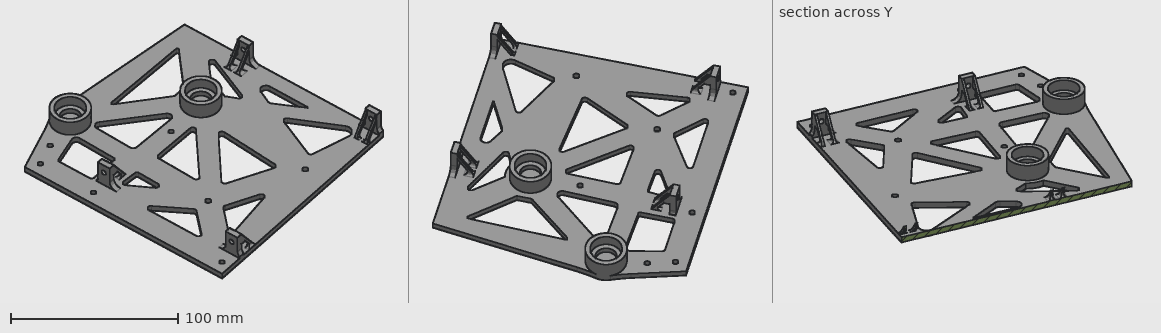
import cadquery as cq
import math

plate_length = 165.8
plate_depth = 156.0
plate_thickness = 4.0
back_left_corner_x = 15.0
front_left_corner_x = 15.9
left_apex = (0.7, 47.2)
edge_blend_radius = 99.5

boss_diameter = 25.0
edge_boss_center = (boss_diameter / 2, 48.4)
inner_boss_center = (64.6, 108.4)
boss_top = 14.5
bearing_diameter = 19.0
bearing_depth = 7.0
recess_diameter = 13.0
pocket_clearance_radius = 15.4

small_hole_diameter = 3.3
small_hole_centers = [(65.8, 78.0), (16.4, 24.0), (21.5, 8.0), (61.8, 8.0), (159.5, 8.0)]
large_hole_diameter = 3.6
large_hole_centers = [(149.0, 101.8), (120.2, 44.6)]

plain_pockets = [
    [(109.7, 128.1, 2.0), (155.0, 151.3, 5.0), (143.7, 112.9, 2.0)],
    [(72.6, 145.2, 3.5), (118.4, 145.0, 0.3), (96.6, 133.6, 3.0)],
    [(22.2, 73.3, 1.0), (24.0, 138.5, 1.0), (48.4, 112.7, 1.0), (48.4, 103.6, 1.0)],
    [(86.2, 97.6, 2.0), (135.0, 93.8, 2.0), (118.0, 60.5, 2.0)],
    [(59.3, 94.8, 3.0), (57.9, 52.0, 3.0), (22.7, 53.2, 3.0)],
    [(73.1, 92.5, 2.0), (106.5, 54.2, 2.0), (72.3, 55.4, 2.0)],
    [(149.5, 28.0, 2.0), (130.1, 46.4, 2.0), (144.0, 74.0, 2.0)],
    [(22.4, 40.0, 3.0), (54.2, 39.0, 1.0), (54.2, 16.4, 2.0), (28.0, 16.4, 2.0)],
    [(94.3, 37.5, 2.0), (69.8, 22.9, 2.0), (71.1, 38.1, 1.0)],
    [(138.2, 16.4, 2.0), (90.3, 16.4, 2.0), (119.0, 34.5, 2.0)],
]
boss_side_pocket = [(40.0, 146.4, 2.0), (83.5, 127.3, 2.0), (65.5, 118.8, 0)]

left_bracket_x = 62.7
right_bracket_x = 159.6
front_bracket_y = 16.9
post_width = 9.0
post_thickness = 4.0
post_height = 16.0
post_flare_radius = 5.0
pin_hole_diameter = 3.3
pin_hole_height = 10.1
strut_width = 1.5
strut_slope = 1.4
strut_foot_length = 2.2
strut_flare_radius = 2.0
back_strut_reach = 14.5
front_strut_reach = 15.4
front_window_height = 7.8


def pocket_cutter(corners):
    """Prism through the plate with each corner rounded by its own radius."""
    cutter = cq.Workplane("XY").polyline([(x, y) for x, y, _ in corners]).close().extrude(plate_thickness)
    for x, y, radius in corners:
        if radius > 0:
            corner_edge = cq.selectors.NearestToPointSelector((x, y, plate_thickness / 2))
            cutter = cutter.edges(corner_edge).fillet(radius)
    return cutter


def cylinder(center, diameter, bottom, top):
    return cq.Workplane("XY", origin=(*center, bottom)).circle(diameter / 2).extrude(top - bottom)


def make_plate():
    outline = [
        (front_left_corner_x, 0),
        (plate_length, 0),
        (plate_length, plate_depth),
        (back_left_corner_x, plate_depth),
        left_apex,
    ]
    plate = cq.Workplane("XY").polyline(outline).close().extrude(plate_thickness)
    plate = plate.union(cylinder(edge_boss_center, boss_diameter, 0, plate_thickness))
    boss_y = edge_boss_center[1]
    for side in (1, -1):
        junction = (0, boss_y + side * boss_diameter / 4, plate_thickness / 2)
        junction_edge = cq.selectors.NearestToPointSelector(junction)
        plate = plate.edges("|Z").edges(junction_edge).fillet(edge_blend_radius)

    for corners in plain_pockets:
        plate = plate.cut(pocket_cutter(corners))
    boss_web = cylinder(inner_boss_center, 2 * pocket_clearance_radius, 0, plate_thickness)
    plate = plate.cut(pocket_cutter(boss_side_pocket).cut(boss_web))

    for centers, diameter in (
        (small_hole_centers, small_hole_diameter),
        (large_hole_centers, large_hole_diameter),
    ):
        for center in centers:
            plate = plate.cut(cylinder(center, diameter, 0, plate_thickness))
    return plate


def make_boss(center):
    boss = cylinder(center, boss_diameter, 0, boss_top)
    boss = boss.cut(cylinder(center, bearing_diameter, boss_top - bearing_depth, boss_top))
    return boss.cut(cylinder(center, recess_diameter, plate_thickness, boss_top))


def block(x_min, x_max, length, height):
    return cq.Workplane("XY", origin=(x_min, 0, 0)).box(x_max - x_min, length, height, centered=False)


def flare(wall_x, side, radius, reach, length):
    """Concave fillet beside a wall, on its +X or -X side, cut off at the given reach."""
    far_x = wall_x + side * reach
    corner = block(min(wall_x, far_x), max(wall_x, far_x), length, radius)
    hollow = cq.Workplane("XZ").center(wall_x + side * radius, radius).circle(radius).extrude(-length)
    return corner.cut(hollow)


def make_post(left_flare, right_flare):
    """Each flare is given as (radius, reach)."""
    half_width = post_width / 2
    post = block(-half_width, half_width, post_thickness, post_height)
    for side, (radius, reach) in ((-1, left_flare), (1, right_flare)):
        post = post.union(flare(side * half_width, side, radius, reach, post_thickness))
    pin_hole = cq.Workplane("XZ").center(0, pin_hole_height).circle(pin_hole_diameter / 2)
    return post.cut(pin_hole.extrude(-post_thickness))


def strut_profile(reach, window_height, has_toe):
    """Side shape of a strut as a solid spanning the bracket's full width."""
    underside_y = reach - strut_foot_length
    underside_post_height = (underside_y - post_thickness) * strut_slope
    window_top = window_height or underside_post_height
    points = [
        (post_thickness, window_top),
        (post_thickness, (reach - post_thickness) * strut_slope),
        (reach, 0),
        (underside_y, 0),
    ]
    if window_height:
        points.append((underside_y - window_height / strut_slope, window_height))
    span = post_width + 4 * strut_flare_radius
    sketch_plane = cq.Workplane("YZ", origin=(-span / 2, 0, 0))
    profile = sketch_plane.polyline(points).close().extrude(span)
    if has_toe:
        angle = math.atan(strut_slope)
        tangent_length = strut_flare_radius / math.tan(angle / 2)
        center_y = underside_y - tangent_length
        high_point = (
            underside_y - tangent_length * math.cos(angle),
            tangent_length * math.sin(angle),
        )
        middle_point = (
            center_y + strut_flare_radius * math.cos(angle / 2),
            strut_flare_radius * (1 - math.sin(angle / 2)),
        )
        toe = (
            sketch_plane.moveTo(underside_y, 0)
            .lineTo(center_y, 0)
            .threePointArc(middle_point, high_point)
            .close()
            .extrude(span)
        )
        profile = profile.union(toe)
    return profile


def make_strut(x_min, flare_reaches, profile, reach):
    """The foot flares on the -X and +X sides go out to the two given reaches; 0 leaves a side plain."""
    x_max = x_min + strut_width
    section = block(x_min, x_max, reach, post_height)
    for wall_x, side, flare_reach in zip((x_min, x_max), (-1, 1), flare_reaches):
        if flare_reach > 0:
            section = section.union(flare(wall_x, side, strut_flare_radius, flare_reach, reach))
    return section.intersect(profile)


def make_bracket(post_flares, strut_flares, reach, window_height=None, has_toe=True):
    bracket = make_post(*post_flares)
    profile = strut_profile(reach, window_height, has_toe)
    left_strut_x = -post_width / 2
    right_strut_x = post_width / 2 - strut_width
    for x_min, flare_reaches in zip((left_strut_x, right_strut_x), strut_flares):
        bracket = bracket.union(make_strut(x_min, flare_reaches, profile, reach))
    return bracket


def at_front(bracket, x):
    return bracket.translate((x, front_bracket_y, plate_thickness))


def at_back(bracket, x):
    return bracket.mirror("XZ").translate((x, plate_depth, plate_thickness))


edge_gap = plate_length - right_bracket_x - post_width / 2
full_flare = (post_flare_radius, post_flare_radius)
edge_flare = (post_flare_radius, edge_gap)
pocket_side_flare = (2.7, 1.3)

strut_flare_edge = min(strut_flare_radius, edge_gap)
both_sides = (strut_flare_radius, strut_flare_radius)
left_only = (strut_flare_radius, 0)
right_only = (0, strut_flare_radius)

back_left_bracket = make_bracket(
    post_flares=(full_flare, full_flare),
    strut_flares=(both_sides, both_sides),
    reach=back_strut_reach,
)
back_right_bracket = make_bracket(
    post_flares=(full_flare, edge_flare),
    strut_flares=(right_only, (strut_flare_radius, strut_flare_edge)),
    reach=back_strut_reach,
    has_toe=False,
)
front_left_bracket = make_bracket(
    post_flares=(pocket_side_flare, full_flare),
    strut_flares=(right_only, left_only),
    reach=front_strut_reach,
    window_height=front_window_height,
)
front_right_bracket = make_bracket(
    post_flares=(full_flare, edge_flare),
    strut_flares=(both_sides, (0, strut_flare_edge)),
    reach=front_strut_reach,
    window_height=front_window_height,
)

result = make_plate()
for boss_center in (edge_boss_center, inner_boss_center):
    result = result.union(make_boss(boss_center))
result = result.union(at_back(back_left_bracket, left_bracket_x))
result = result.union(at_back(back_right_bracket, right_bracket_x))
result = result.union(at_front(front_left_bracket, left_bracket_x))
result = result.union(at_front(front_right_bracket, right_bracket_x))